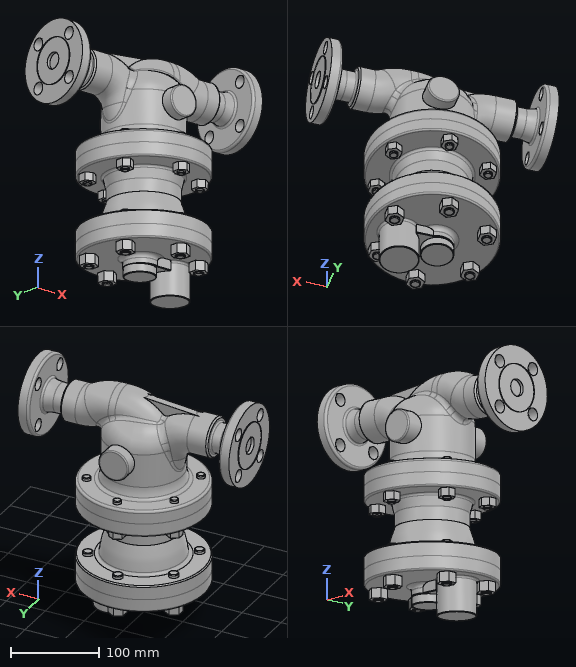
import cadquery as cq
import math


FACE_X = 136.5
RAISED_FACE_DIAMETER = 56
RAISED_FACE_HEIGHT = 1
PIPE_FLANGE_DIAMETER = 100
PIPE_FLANGE_THICKNESS = 14
PIPE_FLANGE_FILLET = 3
FLANGE_HOLE_DIAMETER = 15
FLANGE_HOLE_CIRCLE = 75
FLANGE_HOLE_COUNT = 4
FLANGE_FIRST_HOLE_ANGLE = 45
BORE_DIAMETER = 20
BORE_DEPTH = 4
NECK_ROOT_RADIUS = 20
NECK_RADIUS = 18
NECK_ROOT_FILLET = 2.4
NECK_TAPER_LENGTH = 12
NECK_END_X = 96.6
NECK_SHOULDER_FILLET = 2
PIPE_RADIUS = 25
PIPE_CHAMFER = 2

INLET_BEND_X = -68.4
INLET_BEND_RADIUS = 40
INLET_BEND_ANGLE = 74
INLET_STRAIGHT = 24

OUTLET_RISE_X = 75.2
OUTLET_RISE_RADIUS = 35
OUTLET_RISE_ANGLE = 30
OUTLET_CROWN_RADIUS = 50
OUTLET_CROWN_FLAT = 8.7
OUTLET_DIVE_ANGLE = 60

RIB_WIDTH = 10
RIB_START = (-74, 24.45)
RIB_END = (4, 31.4)
RIB_TOE = (-30, -5)

BODY_RADIUS = 49
DOME_BASE_Z = -20
DOME_TOP_Z = 11.5
DOME_CORNER_RADIUS = 31.5
BODY_FLARE_Z = -62.1
BODY_FLARE_RADIUS = 51.5
INLET_BLEND_RADIUS = 10
OUTLET_BLEND_RADIUS = 6
BLEND_SPLIT_X = -31

BODY_FLANGE_RADIUS = 78
FLANGE_FOOT_RADIUS = 112.2 / 2
UPPER_TOP_Z = -77.2
UPPER_SPLIT_Z = -93.7
UPPER_BOTTOM_Z = -110.4
UPPER_FILLET = 3
LOWER_TOP_Z = -174.5
LOWER_SPLIT_Z = -192
LOWER_BOTTOM_Z = -208.5
FLANGE_EDGE_FILLET = 2
LOWER_TOP_CHAMFER = 1.5
FOOT_HEIGHT = 2.8

WAIST_RADIUS = 85.96 / 2
WAIST_TOP_Z = -125
WAIST_BOTTOM_Z = -141
WAIST_UPPER_FLARE_RADIUS = 92.1 / 2
WAIST_LOWER_FLARE_RADIUS = 51
WAIST_LOWER_FLARE_SAG = 1.2

BOLT_COUNT = 6
BOLT_FIRST_ANGLE = 30
BOLT_CHAMFER = 1
NUT_SIDES = 6
UPPER_BOLT = dict(circle=130, diameter=10, head=4, tail=2.7, nut_width=17, nut_height=9.7)
LOWER_BOLT = dict(circle=127, diameter=12, head=4.3, tail=2, nut_width=19, nut_height=11.9)

SIDE_BOSS_X = 6
SIDE_BOSS_Z = -32
SIDE_BOSS_DIAMETER = 38
SIDE_BOSS_END_Y = 63
SIDE_BOSS_FILLET = 1.5

PLUG_BOSS_X = -5.8
PLUG_BOSS_DIAMETER = 38
PLUG_BOSS_END_Z = -231
DRAIN_BOSS_X = 39.5
DRAIN_BOSS_DIAMETER = 45.5
DRAIN_BOSS_END_Z = -250.8
BOSS_CHAMFER = 0.8
PAD_X = -4.2
PAD_DIAMETER = 41.7
PAD_END_X = 24.8
PAD_BRIDGE_WIDTH = 38
PAD_BOTTOM_Z = -221
PAD_ROOT_FILLET = 5.5
BOSS_ROOT_FILLET = 2.5


def polar(radius, angle):
    return (radius * math.cos(math.radians(angle)), radius * math.sin(math.radians(angle)))


def pipe_connection(bend_distance):
    """Flange, neck and pipe facing -X, running up to `bend_distance` from the body axis."""
    flange_front = -FACE_X + RAISED_FACE_HEIGHT
    flange_back = flange_front + PIPE_FLANGE_THICKNESS
    neck_start = flange_back + NECK_ROOT_FILLET
    neck_tangent = neck_start + NECK_TAPER_LENGTH
    flange_radius = PIPE_FLANGE_DIAMETER / 2
    shoulder_radius = NECK_RADIUS + NECK_SHOULDER_FILLET
    shoulder_x = -NECK_END_X + NECK_SHOULDER_FILLET
    return (
        cq.Workplane("XZ")
        .moveTo(-FACE_X, 0)
        .lineTo(-FACE_X, RAISED_FACE_DIAMETER / 2)
        .lineTo(flange_front, RAISED_FACE_DIAMETER / 2)
        .lineTo(flange_front, flange_radius)
        .lineTo(flange_back - PIPE_FLANGE_FILLET, flange_radius)
        .radiusArc((flange_back, flange_radius - PIPE_FLANGE_FILLET), PIPE_FLANGE_FILLET)
        .lineTo(flange_back, NECK_ROOT_RADIUS + NECK_ROOT_FILLET)
        .radiusArc((neck_start, NECK_ROOT_RADIUS), -NECK_ROOT_FILLET)
        .threePointArc(
            ((neck_start + neck_tangent) / 2, NECK_RADIUS + (NECK_ROOT_RADIUS - NECK_RADIUS) / 4),
            (neck_tangent, NECK_RADIUS),
        )
        .lineTo(-NECK_END_X, NECK_RADIUS)
        .radiusArc((shoulder_x, shoulder_radius), -NECK_SHOULDER_FILLET)
        .lineTo(shoulder_x, PIPE_RADIUS - PIPE_CHAMFER)
        .lineTo(shoulder_x + PIPE_CHAMFER, PIPE_RADIUS)
        .lineTo(-bend_distance, PIPE_RADIUS)
        .lineTo(-bend_distance, 0)
        .close()
        .revolve(360, (0, 0, 0), (1, 0, 0))
    )


def connection_holes():
    """Bolt holes and bore of the connection at the -X side."""
    face = cq.Workplane("YZ", origin=(-FACE_X, 0, 0))
    bolt_holes = (
        face.polarArray(FLANGE_HOLE_CIRCLE / 2, FLANGE_FIRST_HOLE_ANGLE, 360, FLANGE_HOLE_COUNT)
        .circle(FLANGE_HOLE_DIAMETER / 2)
        .extrude(RAISED_FACE_HEIGHT + PIPE_FLANGE_THICKNESS)
    )
    return bolt_holes.union(face.circle(BORE_DIAMETER / 2).extrude(BORE_DEPTH))


def inlet_elbow():
    bend_x, bend_z = polar(INLET_BEND_RADIUS, 90 - INLET_BEND_ANGLE)
    step_x, step_z = polar(INLET_STRAIGHT, -INLET_BEND_ANGLE)
    bend_end = (INLET_BEND_X + bend_x, bend_z - INLET_BEND_RADIUS)
    path = (
        cq.Workplane("XZ")
        .moveTo(INLET_BEND_X, 0)
        .radiusArc(bend_end, INLET_BEND_RADIUS)
        .lineTo(bend_end[0] + step_x, bend_end[1] + step_z)
    )
    return cq.Workplane("YZ", origin=(INLET_BEND_X, 0, 0)).circle(PIPE_RADIUS).sweep(path)


def outlet_pipe():
    rise_sin = math.sin(math.radians(OUTLET_RISE_ANGLE))
    rise_drop = 1 - math.cos(math.radians(OUTLET_RISE_ANGLE))
    rise_end = (OUTLET_RISE_X - OUTLET_RISE_RADIUS * rise_sin, OUTLET_RISE_RADIUS * rise_drop)
    crown_start = (
        rise_end[0] - OUTLET_CROWN_RADIUS * rise_sin,
        rise_end[1] + OUTLET_CROWN_RADIUS * rise_drop,
    )
    crown_end = (crown_start[0] - OUTLET_CROWN_FLAT, crown_start[1])
    dive_x, dive_z = polar(OUTLET_CROWN_RADIUS, 90 + OUTLET_DIVE_ANGLE)
    dive_end = (crown_end[0] + dive_x, crown_end[1] - OUTLET_CROWN_RADIUS + dive_z)
    path = (
        cq.Workplane("XZ")
        .moveTo(OUTLET_RISE_X, 0)
        .radiusArc(rise_end, OUTLET_RISE_RADIUS)
        .radiusArc(crown_start, -OUTLET_CROWN_RADIUS)
        .lineTo(*crown_end)
        .radiusArc(dive_end, -OUTLET_CROWN_RADIUS)
    )
    return cq.Workplane("YZ", origin=(OUTLET_RISE_X, 0, 0)).circle(PIPE_RADIUS).sweep(path)


def domed_body():
    """Domed cylinder that receives both pipes."""
    corner_x = BODY_RADIUS - DOME_CORNER_RADIUS
    return (
        cq.Workplane("XZ")
        .moveTo(0, BODY_FLARE_Z)
        .lineTo(BODY_RADIUS, BODY_FLARE_Z)
        .lineTo(BODY_RADIUS, DOME_BASE_Z)
        .tangentArcPoint((corner_x, DOME_TOP_Z), relative=False)
        .lineTo(0, DOME_TOP_Z)
        .close()
        .revolve(360, (0, 0, 0), (0, 1, 0))
    )


def upper_flange_pair():
    return (
        cq.Workplane("XZ")
        .moveTo(0, DOME_BASE_Z)
        .lineTo(BODY_RADIUS, DOME_BASE_Z)
        .lineTo(BODY_RADIUS, BODY_FLARE_Z)
        .tangentArcPoint((BODY_FLARE_RADIUS, UPPER_TOP_Z + FOOT_HEIGHT), relative=False)
        .tangentArcPoint((FLANGE_FOOT_RADIUS, UPPER_TOP_Z), relative=False)
        .lineTo(BODY_FLANGE_RADIUS - UPPER_FILLET, UPPER_TOP_Z)
        .radiusArc((BODY_FLANGE_RADIUS, UPPER_TOP_Z - UPPER_FILLET), UPPER_FILLET)
        .lineTo(BODY_FLANGE_RADIUS, UPPER_SPLIT_Z)
        .lineTo(BODY_FLANGE_RADIUS, UPPER_BOTTOM_Z + FLANGE_EDGE_FILLET)
        .radiusArc((BODY_FLANGE_RADIUS - FLANGE_EDGE_FILLET, UPPER_BOTTOM_Z), FLANGE_EDGE_FILLET)
        .lineTo(0, UPPER_BOTTOM_Z)
        .close()
        .revolve(360, (0, 0, 0), (0, 1, 0), clean=False)
    )


def waist_and_lower_flange_pair():
    """Waisted middle body, flared at both ends, with the lower flange pair."""
    upper_foot_radius = WAIST_UPPER_FLARE_RADIUS + FOOT_HEIGHT
    return (
        cq.Workplane("XZ")
        .moveTo(0, LOWER_BOTTOM_Z)
        .lineTo(0, UPPER_BOTTOM_Z)
        .lineTo(upper_foot_radius, UPPER_BOTTOM_Z)
        .radiusArc((WAIST_UPPER_FLARE_RADIUS, UPPER_BOTTOM_Z - FOOT_HEIGHT), -FOOT_HEIGHT)
        .lineTo(WAIST_RADIUS, WAIST_TOP_Z)
        .lineTo(WAIST_RADIUS, WAIST_BOTTOM_Z)
        .sagittaArc((WAIST_LOWER_FLARE_RADIUS, LOWER_TOP_Z + FOOT_HEIGHT), WAIST_LOWER_FLARE_SAG)
        .tangentArcPoint((FLANGE_FOOT_RADIUS, LOWER_TOP_Z), relative=False)
        .lineTo(BODY_FLANGE_RADIUS - LOWER_TOP_CHAMFER, LOWER_TOP_Z)
        .lineTo(BODY_FLANGE_RADIUS, LOWER_TOP_Z - LOWER_TOP_CHAMFER)
        .lineTo(BODY_FLANGE_RADIUS, LOWER_SPLIT_Z)
        .lineTo(BODY_FLANGE_RADIUS, LOWER_BOTTOM_Z + FLANGE_EDGE_FILLET)
        .radiusArc((BODY_FLANGE_RADIUS - FLANGE_EDGE_FILLET, LOWER_BOTTOM_Z), FLANGE_EDGE_FILLET)
        .close()
        .revolve(360, (0, 0, 0), (0, 1, 0), clean=False)
    )


def bolt_set(top_z, bottom_z, bolt):
    """Bolts through one flange pair, with stud ends on top and nuts and tails below."""
    stud_top = top_z + bolt["head"]
    nut_bottom = bottom_z - bolt["nut_height"]
    stud_bottom = nut_bottom - bolt["tail"]
    corner_diameter = bolt["nut_width"] / math.cos(math.pi / NUT_SIDES)
    stud = (
        cq.Workplane("XY", origin=(0, 0, stud_bottom))
        .circle(bolt["diameter"] / 2)
        .extrude(stud_top - stud_bottom)
        .faces("<Z or >Z")
        .chamfer(BOLT_CHAMFER)
    )
    nut = (
        cq.Workplane("XY", origin=(0, 0, nut_bottom))
        .polygon(NUT_SIDES, corner_diameter)
        .extrude(bolt["nut_height"])
    )
    fastener = stud.union(nut).translate((bolt["circle"] / 2, 0, 0))
    bolts = cq.Workplane("XY")
    for index in range(BOLT_COUNT):
        angle = BOLT_FIRST_ANGLE + index * 360 / BOLT_COUNT
        bolts = bolts.add(fastener.rotate((0, 0, 0), (0, 0, 1), angle))
    return bolts.combine()


def side_bosses():
    return (
        cq.Workplane("XZ", origin=(SIDE_BOSS_X, 0, SIDE_BOSS_Z))
        .circle(SIDE_BOSS_DIAMETER / 2)
        .extrude(SIDE_BOSS_END_Y, both=True)
        .faces("<Y or >Y")
        .edges()
        .fillet(SIDE_BOSS_FILLET)
    )


def rib():
    return (
        cq.Workplane("XZ")
        .polyline([RIB_START, RIB_END, RIB_TOE])
        .close()
        .extrude(RIB_WIDTH / 2, both=True)
    )


def bottom_boss(center_x, diameter, end_z, root_fillet):
    """Round boss under the lower flange, blended into it and chamfered at its end."""
    radius = diameter / 2
    return (
        cq.Workplane("XZ")
        .moveTo(0, LOWER_BOTTOM_Z)
        .lineTo(radius + root_fillet, LOWER_BOTTOM_Z)
        .radiusArc((radius, LOWER_BOTTOM_Z - root_fillet), -root_fillet)
        .lineTo(radius, end_z + BOSS_CHAMFER)
        .lineTo(radius - BOSS_CHAMFER, end_z)
        .lineTo(0, end_z)
        .close()
        .revolve(360, (0, 0, 0), (0, 1, 0))
        .translate((center_x, 0, 0))
    )


def pad_bridge():
    """Block that bridges the pad to the drain boss."""
    return (
        cq.Workplane("XY", origin=(PAD_X, -PAD_BRIDGE_WIDTH / 2, PAD_BOTTOM_Z))
        .rect(PAD_END_X - PAD_X, PAD_BRIDGE_WIDTH, centered=False)
        .extrude(LOWER_BOTTOM_Z - PAD_BOTTOM_Z)
        .faces("<Z")
        .chamfer(BOSS_CHAMFER)
    )


def bottom_bosses():
    """Plug boss on its round pad, next to the drain boss."""
    return (
        bottom_boss(PAD_X, PAD_DIAMETER, PAD_BOTTOM_Z, PAD_ROOT_FILLET)
        .union(pad_bridge())
        .union(bottom_boss(PLUG_BOSS_X, PLUG_BOSS_DIAMETER, PLUG_BOSS_END_Z, BOSS_ROOT_FILLET))
        .union(bottom_boss(DRAIN_BOSS_X, DRAIN_BOSS_DIAMETER, DRAIN_BOSS_END_Z, BOSS_ROOT_FILLET))
    )


def pipes_and_dome():
    """Both pipes joined to the domed body, with the junctions blended."""
    joined = domed_body().union(outlet_pipe()).union(inlet_elbow())
    inlet_junction = joined.edges("%BSPLINE").filter(lambda edge: edge.Center().x < BLEND_SPLIT_X)
    joined = inlet_junction.fillet(INLET_BLEND_RADIUS)
    outlet_junction = joined.edges("%BSPLINE").filter(lambda edge: edge.Center().x > BLEND_SPLIT_X)
    return outlet_junction.fillet(OUTLET_BLEND_RADIUS)


upper_assembly = (
    pipes_and_dome()
    .union(rib())
    .union(pipe_connection(-INLET_BEND_X))
    .union(pipe_connection(OUTLET_RISE_X).mirror("YZ"))
    .cut(connection_holes())
    .cut(connection_holes().mirror("YZ"))
    .union(side_bosses())
)

result = (
    upper_assembly
    .union(upper_flange_pair(), clean=False)
    .union(waist_and_lower_flange_pair(), clean=False)
    .union(bolt_set(UPPER_TOP_Z, UPPER_BOTTOM_Z, UPPER_BOLT), clean=False)
    .union(bolt_set(LOWER_TOP_Z, LOWER_BOTTOM_Z, LOWER_BOLT), clean=False)
    .union(bottom_bosses(), clean=False)
)